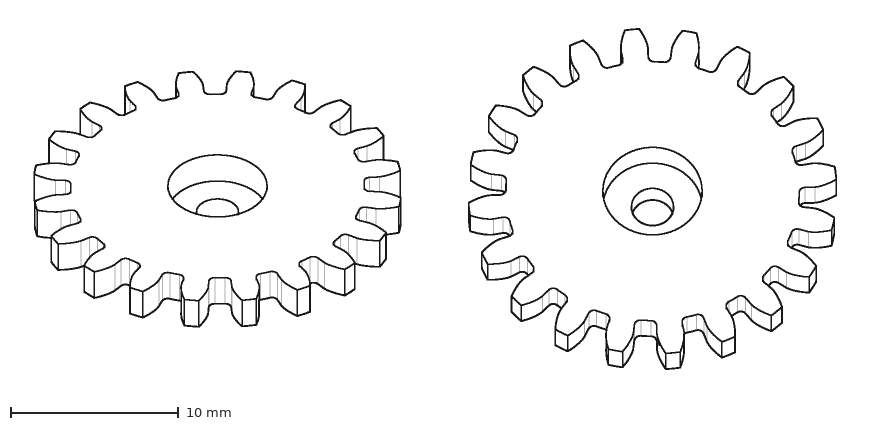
import cadquery as cq
import math

tooth_count = 20
outer_diameter = 22.0
pressure_angle = math.radians(14.5)
dedendum_factor = 1.25
root_fillet = 0.35
gear_turn = 0.5
flank_points = 6
position_tolerance = 0.002

gear_thickness = 2.0
hub_length = 1.5
hub_diameter = 8.0
counterbore_diameter = 5.92
counterbore_depth = gear_thickness
bore_diameter = 2.5

module = outer_diameter / (tooth_count + 2)
outer_radius = outer_diameter / 2
pitch_radius = module * tooth_count / 2
base_radius = pitch_radius * math.cos(pressure_angle)
root_radius = pitch_radius - dedendum_factor * module
tooth_pitch = 360 / tooth_count


def involute(angle):
    """Involute function of a pressure angle in radians."""
    return math.tan(angle) - angle


def half_tooth_angle(radius):
    """Angle in radians from the tooth centreline to its involute flank."""
    flank_angle = math.acos(base_radius / radius)
    return math.pi / (2 * tooth_count) + involute(pressure_angle) - involute(flank_angle)


def polar(radius, angle):
    """Point at a radius and an angle in radians from +X."""
    return (radius * math.cos(angle), radius * math.sin(angle))


def make_tooth():
    """One tooth centred on +X: radial roots, involute flanks and a round tip."""
    step = (outer_radius - base_radius) / (flank_points - 1)
    radii = [base_radius + step * i for i in range(flank_points)]
    lower_flank = [polar(r, -half_tooth_angle(r)) for r in radii]
    upper_flank = [polar(r, half_tooth_angle(r)) for r in reversed(radii)]
    return (
        cq.Workplane("XY")
        .moveTo(0, 0)
        .lineTo(*lower_flank[0])
        .spline(lower_flank[1:], includeCurrent=True)
        .threePointArc((outer_radius, 0), upper_flank[0])
        .spline(upper_flank[1:], includeCurrent=True)
        .close()
        .extrude(gear_thickness)
    )


def is_root_corner(edge):
    """True for an upright edge where a tooth side meets the root circle."""
    center = edge.Center()
    return math.isclose(math.hypot(center.x, center.y), root_radius, abs_tol=position_tolerance)


def make_gear():
    """Toothed disc with its lower face on Z = 0."""
    gear = cq.Workplane("XY").circle(root_radius).extrude(gear_thickness)
    tooth = make_tooth()
    for i in range(tooth_count):
        turn = gear_turn + i * tooth_pitch
        gear = gear.union(tooth.rotate((0, 0, 0), (0, 0, 1), turn))

    return gear.edges("|Z").filter(is_root_corner).fillet(root_fillet)


def make_hub():
    """Round hub below the toothed disc."""
    return cq.Workplane("XY").circle(hub_diameter / 2).extrude(-hub_length)


body = make_gear().union(make_hub())
top_face = body.faces(">Z").workplane(origin=(0, 0, 0))
result = top_face.cboreHole(bore_diameter, counterbore_diameter, counterbore_depth)